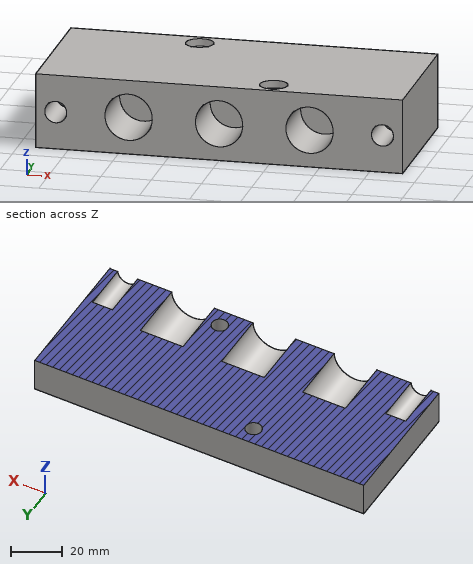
import cadquery as cq

LENGTH = 146.0
WIDTH = 60.0
HEIGHT = 30.0

PORT_DIAMETER = 18.8
PORT_PITCH = 36.0
PORT_COUNT = 3
PORT_DEPTH = 25.0

END_HOLE_DIAMETER = 8.7
END_HOLE_SPACING = 130.0
END_HOLE_DEPTH = 20.0

SCREW_DIAMETER = 6.6
COUNTERBORE_DIAMETER = 11.0
COUNTERBORE_DEPTH = 3.0
SCREW_SPACING_X = 40.0
SCREW_SPACING_Y = 45.0


def drill_front(body, x_positions, diameter, depth):
    """Cut flat-bottomed holes along +Y into the front face at mid height."""
    front = cq.Workplane("XZ", origin=(0, -WIDTH / 2, 0))
    points = [(x, 0) for x in x_positions]
    holes = front.pushPoints(points).circle(diameter / 2).extrude(-depth)
    return body.cut(holes)


def drill_screw_holes(body):
    """Cut the vertical through holes with counterbores in the top face."""
    x = SCREW_SPACING_X / 2
    y = SCREW_SPACING_Y / 2
    top = body.faces(">Z").workplane(origin=(0, 0, HEIGHT / 2))
    return top.pushPoints([(-x, y), (x, -y)]).cboreHole(
        SCREW_DIAMETER, COUNTERBORE_DIAMETER, COUNTERBORE_DEPTH
    )


port_x = [(i - (PORT_COUNT - 1) / 2) * PORT_PITCH for i in range(PORT_COUNT)]
end_hole_x = [-END_HOLE_SPACING / 2, END_HOLE_SPACING / 2]

block = cq.Workplane("XY").box(LENGTH, WIDTH, HEIGHT)
block = drill_front(block, port_x, PORT_DIAMETER, PORT_DEPTH)
block = drill_front(block, end_hole_x, END_HOLE_DIAMETER, END_HOLE_DEPTH)
result = drill_screw_holes(block)